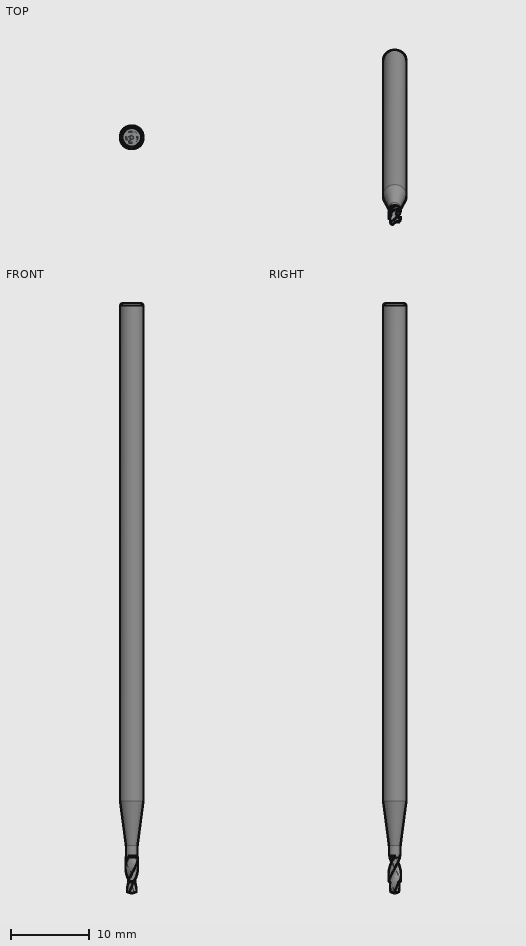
import cadquery as cq
import math

total_length = 75.0
shank_diameter = 3.0
shank_chamfer = 0.3
shank_start = 11.75
neck_diameter = 1.5
neck_start = 6.1

head_top = 4.6
body_diameter = 1.6
pilot_diameter = 1.25
pilot_length = 1.45
step_angle = 90.0
point_angle = 140.0

flute_count = 2
flute_top = 4.85
flute_pitch = 9.0
flute_radius = 1.2
web_thickness = 0.4
first_flute_angle = 110.0


def cone_height(large_diameter, small_diameter, included_angle):
    """Height of a cone frustum between two diameters."""
    return (large_diameter - small_diameter) / 2 / math.tan(math.radians(included_angle / 2))


def revolve_profile(points):
    """Turn a closed (radius, height) outline about the Z axis."""
    return cq.Workplane("XZ").polyline(points).close().revolve(360, (0, 0, 0), (0, 1, 0))


def make_flute(index):
    """Helical round-bottomed groove, from the drill point up to the flute end."""
    start_angle = first_flute_angle + index * 360 / flute_count
    offset = web_thickness / 2 + flute_radius
    twist = 360 * flute_top / flute_pitch
    groove = (
        cq.Workplane("XY")
        .pushPoints([(offset, 0)])
        .circle(flute_radius)
        .twistExtrude(flute_top, twist)
    )
    return groove.rotate((0, 0, 0), (0, 0, 1), start_angle)


def cut_flutes(body):
    for index in range(flute_count):
        body = body.cut(make_flute(index))
    return body


def make_shank():
    """Chamfered shank, taper and neck, with the flute ends cut into the neck."""
    shank_radius = shank_diameter / 2
    neck_radius = neck_diameter / 2
    blank = revolve_profile([
        (0, head_top),
        (neck_radius, head_top),
        (neck_radius, neck_start),
        (shank_radius, shank_start),
        (shank_radius, total_length - shank_chamfer),
        (shank_radius - shank_chamfer, total_length),
        (0, total_length),
    ])
    return cut_flutes(blank)


def make_drill_head():
    """Two-diameter fluted drill with a conical point."""
    body_radius = body_diameter / 2
    pilot_radius = pilot_diameter / 2
    blank = revolve_profile([
        (0, 0),
        (pilot_radius, cone_height(pilot_diameter, 0, point_angle)),
        (pilot_radius, pilot_length),
        (body_radius, pilot_length + cone_height(body_diameter, pilot_diameter, step_angle)),
        (body_radius, head_top),
        (0, head_top),
    ])
    return cut_flutes(blank)


shank = make_shank()
drill_head = make_drill_head()

result = cq.Compound.makeCompound([shank.val(), drill_head.val()])